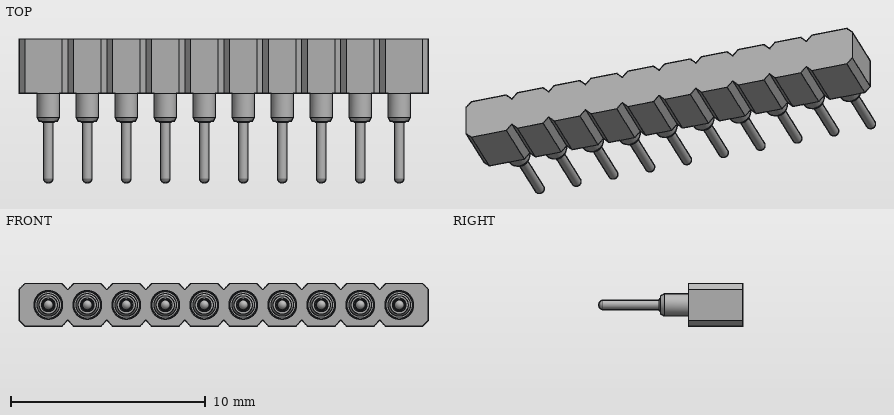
import cadquery as cq
import math

pin_count = 10
pitch = 2.0
end_margin = 1.5

housing_length = (pin_count - 1) * pitch + 2 * end_margin
housing_depth = 2.8
housing_height = 2.2
corner_chamfer = 0.3
notch_depth = 0.32
notch_half_width = 0.3

recess_radius = 0.74
recess_floor_radius = 0.68
recess_depth = 0.2

sleeve_radius = 0.58
sleeve_length = 1.43
sleeve_end_radius = 0.47
sleeve_taper_length = 0.2
collar_base_radius = 0.35
collar_end_radius = 0.29
collar_length = 0.07
shaft_radius = 0.25
shaft_length = 3.1
tip_dome_height = 0.2

pin_positions = [(i - (pin_count - 1) / 2) * pitch for i in range(pin_count)]


def make_housing():
    """Bar with chamfered long edges at both ends."""
    return (
        cq.Workplane("XY")
        .box(housing_length, housing_depth, housing_height)
        .translate((0, housing_depth / 2, 0))
        .edges("|Y")
        .chamfer(corner_chamfer)
    )


def make_notch(x, side):
    """V-shaped cutter midway between two pins; side is +1 for the top, -1 for the bottom."""
    face_z = side * housing_height / 2
    return (
        cq.Workplane("XZ")
        .polyline([
            (x - notch_half_width, face_z),
            (x + notch_half_width, face_z),
            (x, face_z - side * notch_depth),
        ])
        .close()
        .extrude(-housing_depth)
    )


def make_recess(x):
    """Slightly tapered round cutter for the clearance around a sleeve."""
    return (
        cq.Workplane("XY")
        .polyline([
            (0, 0),
            (recess_radius, 0),
            (recess_floor_radius, recess_depth),
            (0, recess_depth),
        ])
        .close()
        .revolve(360, (0, 0, 0), (0, 1, 0))
        .translate((x, 0, 0))
    )


def make_contact(x):
    """Revolved sleeve, collar and dome-tipped shaft, reaching back to the floor of the recess."""
    sleeve_end = -sleeve_length
    collar_end = sleeve_end - collar_length
    shaft_end = collar_end - shaft_length
    dome_base = shaft_end + tip_dome_height
    dome_sphere_radius = (shaft_radius**2 + tip_dome_height**2) / (2 * tip_dome_height)
    dome_mid_radius = shaft_radius / 2
    dome_center_y = shaft_end + dome_sphere_radius
    dome_mid_y = dome_center_y - math.sqrt(dome_sphere_radius**2 - dome_mid_radius**2)
    return (
        cq.Workplane("XY")
        .moveTo(0, recess_depth)
        .lineTo(sleeve_radius, recess_depth)
        .lineTo(sleeve_radius, sleeve_end + sleeve_taper_length)
        .lineTo(sleeve_end_radius, sleeve_end)
        .lineTo(collar_base_radius, sleeve_end)
        .lineTo(collar_end_radius, collar_end)
        .lineTo(shaft_radius, collar_end)
        .lineTo(shaft_radius, dome_base)
        .threePointArc((dome_mid_radius, dome_mid_y), (0, shaft_end))
        .close()
        .revolve(360, (0, 0, 0), (0, 1, 0))
        .translate((x, 0, 0))
    )


result = make_housing()
for pin_x in pin_positions[:-1]:
    for notch_side in (1, -1):
        result = result.cut(make_notch(pin_x + pitch / 2, notch_side))
for pin_x in pin_positions:
    result = result.cut(make_recess(pin_x)).union(make_contact(pin_x))